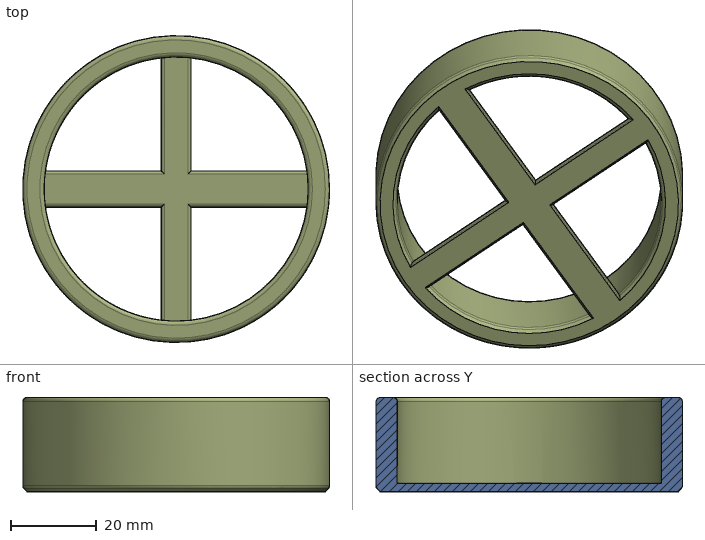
import cadquery as cq

outer_diameter = 71.5
bore_diameter = 61.5
height = 22.0
rim_fillet = 1.0
base_chamfer = 1.0
base_blend = 1.0

bar_thickness = 2.0
bar_width_along_x = 8.5
bar_width_along_y = 7.0
bar_fillet = 0.75
bar_chamfer = 0.5
bar_blend = 0.75

outer_radius = outer_diameter / 2
bore_radius = bore_diameter / 2


def edges_at_height(z):
    """Selector for the edges lying in the horizontal plane at height z."""
    tolerance = 0.01
    return cq.selectors.BoxSelector(
        (-outer_diameter, -outer_diameter, z - tolerance),
        (outer_diameter, outer_diameter, z + tolerance),
        boundingbox=True,
    )


def chamfer_base(body, chamfer, blend):
    """Chamfer the bottom edges, then round the shoulder above each chamfer."""
    body = body.faces("<Z").edges().chamfer(chamfer)
    return body.edges(edges_at_height(chamfer)).fillet(blend)


def make_ring():
    """Ring with a rounded rim and a chamfered, blended base."""
    ring = cq.Workplane("XY").circle(outer_radius).circle(bore_radius).extrude(height)
    ring = ring.faces(">Z").edges().fillet(rim_fillet)
    return chamfer_base(ring, base_chamfer, base_blend)


def make_cross():
    """Two crossing bars with eased edges, ending inside the ring wall."""
    bar_along_x = cq.Workplane("XY").rect(outer_diameter, bar_width_along_x).extrude(bar_thickness)
    bar_along_y = cq.Workplane("XY").rect(bar_width_along_y, outer_diameter).extrude(bar_thickness)
    cross = bar_along_x.union(bar_along_y)
    cross = cross.faces(">Z").edges().fillet(bar_fillet)
    cross = chamfer_base(cross, bar_chamfer, bar_blend)

    trim_radius = (outer_radius + bore_radius) / 2
    trim = cq.Workplane("XY").circle(trim_radius).extrude(bar_thickness)
    return cross.intersect(trim)


result = make_ring().union(make_cross())